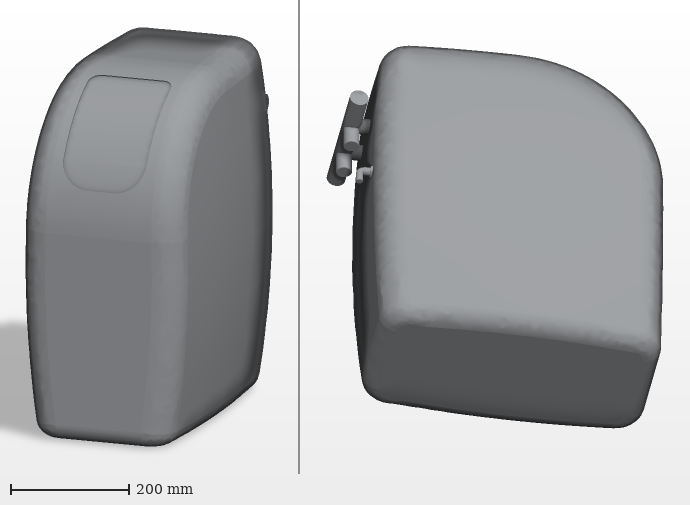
import cadquery as cq
import math

height = 615.0
overall_depth = 541.0
body_width = 313.5
body_depth = 500.5
mid_height = height / 2
mid_depth = body_depth / 2

hood_radius = body_depth / 2
hood_z = height - hood_radius
side_bulge_radius = 1999.0
rear_bulge_radius = 2829.0
edge_round = 50.0
base_round = 30.0

window_width = 150.0
window_length = 226.5
window_depth = 3.0
window_top_round = 20.0
window_bottom_round = 50.0
window_tilt = 45.0

manifold_diameter = 32.0
manifold_length = 219.0
manifold_y = overall_depth - manifold_diameter / 2
manifold_z = 479.0
branch_diameter = 27.0
branch_spacing = 70.0
outlet_drop = 47.0

drain_x = -85.0
drain_z = 339.5
drain_diameter = 12.0
drain_bend_radius = 7.0
drain_pipe_y = 520.0
drain_end_z = 315.5
collar_diameter = 14.0
flange_diameter = 20.0
flange_thickness = 3.0

pipe_end_chamfer = 0.9

root_depth = 24.5


def rear_face_y(x, z):
    """Y of the domed rear face at the given X and Z."""
    rise = math.sqrt(rear_bulge_radius**2 - x**2 - (z - mid_height) ** 2)
    return body_depth - rear_bulge_radius + rise


def ball(radius, center):
    return cq.Workplane("XY").sphere(radius).translate(center)


def make_body():
    """Housing with a curved hood, bounded by domed sides and a domed rear, then rounded."""
    hood_diagonal = hood_radius * math.sqrt(0.5)
    body = (
        cq.Workplane("YZ")
        .lineTo(0, hood_z)
        .threePointArc((hood_radius - hood_diagonal, hood_z + hood_diagonal), (hood_radius, height))
        .lineTo(body_depth, height)
        .lineTo(body_depth, 0)
        .close()
        .extrude(body_width, both=True)
    )
    for side in (-1, 1):
        side_center_x = side * (body_width / 2 - side_bulge_radius)
        body = body.intersect(ball(side_bulge_radius, (side_center_x, mid_depth, mid_height)))
    body = body.intersect(ball(rear_bulge_radius, (0, body_depth - rear_bulge_radius, mid_height)))

    base_edges = body.faces("<Z").edges().vals()
    hood_seams = body.faces("%CYLINDER").edges("|X").vals()
    kept_edges = base_edges + hood_seams
    round_edges = [e for e in body.edges().vals() if not any(e.isSame(kept) for kept in kept_edges)]
    body = body.newObject(round_edges).fillet(edge_round)
    return body.faces("<Z").edges().fillet(base_round)


def make_window_cutter():
    """Thin curved slab with the rounded outline of the window, lying on the hood."""
    tilt = math.radians(window_tilt)
    plane = cq.Plane(
        origin=(0, hood_radius, hood_z),
        xDir=(1, 0, 0),
        normal=(0, -math.cos(tilt), math.sin(tilt)),
    )
    outline = (
        cq.Sketch()
        .rect(window_width, window_length)
        .vertices(">Y")
        .fillet(window_top_round)
        .reset()
        .vertices("<Y")
        .fillet(window_bottom_round)
    )
    prism = cq.Workplane(plane).placeSketch(outline).extrude(2 * hood_radius)
    floor = (
        cq.Workplane("YZ")
        .center(hood_radius, hood_z)
        .circle(hood_radius - window_depth)
        .extrude(window_width, both=True)
    )
    return prism.cut(floor)


def pipe_down(x, y, diameter, start_z, end_z):
    """Vertical pipe with a chamfered lower end."""
    pipe = cq.Workplane("XY", origin=(x, y, start_z)).circle(diameter / 2).extrude(end_z - start_z)
    return pipe.faces("<Z").chamfer(pipe_end_chamfer)


def pipe_along_y(x, z, diameter, start_y, end_y):
    """Horizontal pipe running rearwards from start_y to end_y."""
    base = cq.Workplane("XZ", origin=(x, start_y, z)).circle(diameter / 2)
    return base.extrude(start_y - end_y)


def make_manifold():
    """Cross tube with two branch pipes into the body and an outlet below each branch."""
    tube = (
        cq.Workplane("YZ")
        .center(manifold_y, manifold_z)
        .circle(manifold_diameter / 2)
        .extrude(manifold_length / 2, both=True)
    )
    for x in (-branch_spacing / 2, branch_spacing / 2):
        start_y = rear_face_y(x, manifold_z) - root_depth
        tube = tube.union(pipe_along_y(x, manifold_z, branch_diameter, start_y, manifold_y))
        outlet_end_z = manifold_z - outlet_drop
        tube = tube.union(pipe_down(x, manifold_y, branch_diameter, manifold_z, outlet_end_z))
    return tube


def make_drain():
    """Flanged elbow that leaves the rear face and turns downwards."""
    wall_y = rear_face_y(drain_x, drain_z)
    root_y = wall_y - root_depth
    bend_y = drain_pipe_y - drain_bend_radius
    bend_z = drain_z - drain_bend_radius
    flange = pipe_along_y(drain_x, drain_z, flange_diameter, root_y, wall_y + flange_thickness)
    collar = pipe_along_y(drain_x, drain_z, collar_diameter, root_y, bend_y)
    bend = (
        cq.Workplane("XZ", origin=(drain_x, bend_y, drain_z))
        .circle(drain_diameter / 2)
        .revolve(90, (6, -drain_bend_radius), (-6, -drain_bend_radius))
    )
    spout = pipe_down(drain_x, drain_pipe_y, drain_diameter, bend_z, drain_end_z)
    return flange.union(collar).union(bend).union(spout)


result = make_body().cut(make_window_cutter()).union(make_manifold()).union(make_drain())